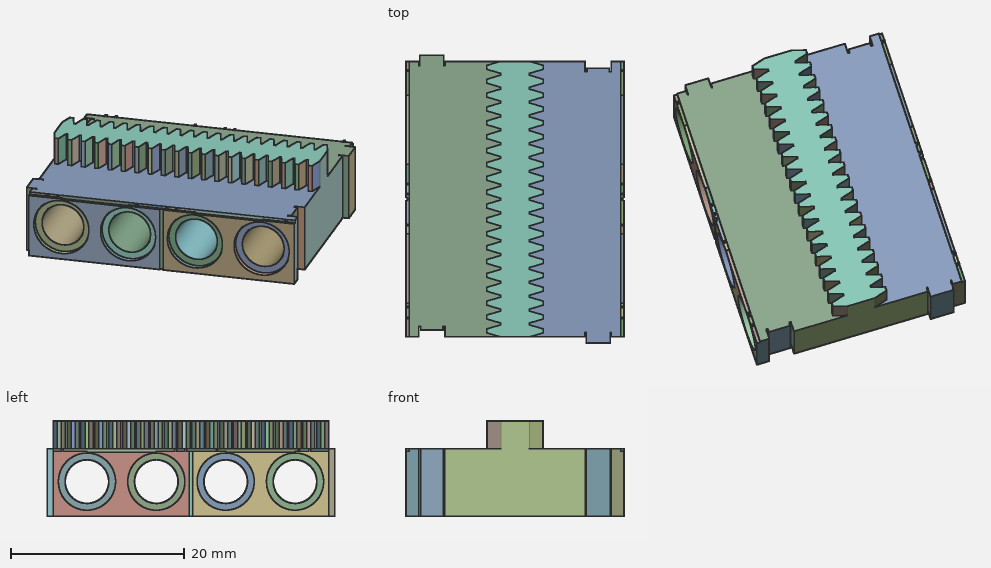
import cadquery as cq
BODY_X = 25.2
BODY_Y = 31.8
BODY_Z = 7.8
HALF_X = BODY_X / 2
HALF_Y = BODY_Y / 2

TOTAL_Z = 11.0
RACK_ROOT_HALF_X = 1.65
TOOTH_HEIGHT = 1.6
TOOTH_PITCH = 1.6
TOOTH_TIP_WIDTH = 0.45
TOOTH_ROOT_GAP = 0.2
TOOTH_COUNT = 20

HOLE_DIAMETER = 5.0
COUNTERBORE_DIAMETER = 6.6
COUNTERBORE_DEPTH = 0.7
HOLE_PITCH = 8.0
HOLE_COUNT = 4
HOLE_Z = 4.0

JOINT_X = 9.6
TAB_WIDTH = 2.8
TAB_PROJECTION = 0.7
RELIEF_WIDTH = 0.1
RELIEF_DEPTH = 0.5
RECESS_WIDTH = 3.0
RECESS_DEPTH = 0.8
TONGUE_WIDTH = 2.6
RECESS_SLIT_DEPTH = 1.2

REBATE_WIDTH = 0.4
REBATE_DEPTH = 0.3
DEEP_REBATE_DEPTH = 0.4
RIB_WIDTH = 0.2
RIB_POSITIONS_Y = (14.85, 1.75, 0.6, -3.0, -12.45, -13.7)
GROOVE_RADIUS = 0.2


def block(x_min, x_max, y_min, y_max, z_min, z_max):
    """Axis-aligned box given by its limits."""
    size = (x_max - x_min, y_max - y_min, z_max - z_min)
    return cq.Workplane("XY").box(*size, centered=False).translate((x_min, y_min, z_min))


def half_turn(shape):
    """Copy of a shape turned 180 degrees about Z."""
    return shape.rotate((0, 0, 0), (0, 0, 1), 180)


def rack():
    """Rack with trapezoidal teeth on both long sides."""
    root_x = RACK_ROOT_HALF_X
    tip_x = root_x + TOOTH_HEIGHT
    root_half = (TOOTH_PITCH - TOOTH_ROOT_GAP) / 2
    tip_half = TOOTH_TIP_WIDTH / 2
    solid = block(-root_x, root_x, -HALF_Y, HALF_Y, 0, TOTAL_Z)
    tooth = (
        cq.Workplane("XY")
        .workplane(offset=BODY_Z)
        .polyline([
            (-root_x, -root_half),
            (-tip_x, -tip_half),
            (-tip_x, tip_half),
            (-root_x, root_half),
            (root_x, root_half),
            (tip_x, tip_half),
            (tip_x, -tip_half),
            (root_x, -root_half),
        ])
        .close()
        .extrude(TOTAL_Z - BODY_Z)
    )
    for index in range(TOOTH_COUNT):
        tooth_y = (index - (TOOTH_COUNT - 1) / 2) * TOOTH_PITCH
        solid = solid.union(tooth.translate((0, tooth_y, 0)))
    return solid


def tab():
    """Tab projecting from the +Y end near the -X side."""
    return block(
        -JOINT_X - TAB_WIDTH / 2,
        -JOINT_X + TAB_WIDTH / 2,
        HALF_Y - RELIEF_DEPTH,
        HALF_Y + TAB_PROJECTION,
        0,
        BODY_Z,
    )


def tab_relief():
    """Pocket that leaves a thin slit on each side of the tab."""
    half_width = TAB_WIDTH / 2 + RELIEF_WIDTH
    return block(-JOINT_X - half_width, -JOINT_X + half_width, HALF_Y - RELIEF_DEPTH, HALF_Y, 0, BODY_Z)


def recess():
    """Recess in the +Y end near the +X side, with a slit beside each edge of its floor."""
    half_width = RECESS_WIDTH / 2
    cavity = block(JOINT_X - half_width, JOINT_X + half_width, HALF_Y - RECESS_SLIT_DEPTH, HALF_Y, 0, BODY_Z)
    tongue = block(
        JOINT_X - TONGUE_WIDTH / 2,
        JOINT_X + TONGUE_WIDTH / 2,
        HALF_Y - RECESS_SLIT_DEPTH,
        HALF_Y - RECESS_DEPTH,
        0,
        BODY_Z,
    )
    return cavity.cut(tongue)


def edge_rebate():
    """Step along the top edge of the +X side, deeper between paired holes and crossed by thin ribs."""
    inner_x = HALF_X - REBATE_WIDTH
    step = block(inner_x, HALF_X, -HALF_Y, HALF_Y, BODY_Z - REBATE_DEPTH, BODY_Z)
    for pair_y in (-HOLE_PITCH, HOLE_PITCH):
        deep_start = pair_y - HOLE_PITCH / 2
        deep_end = pair_y + HOLE_PITCH / 2
        step = step.union(block(inner_x, HALF_X, deep_start, deep_end, BODY_Z - DEEP_REBATE_DEPTH, BODY_Z))
    for rib_y in RIB_POSITIONS_Y:
        rib_start = rib_y - RIB_WIDTH / 2
        rib_end = rib_y + RIB_WIDTH / 2
        step = step.cut(block(inner_x, HALF_X, rib_start, rib_end, BODY_Z - DEEP_REBATE_DEPTH, BODY_Z))
    return step


def side_groove():
    """Vertical half-round groove in the middle of the +X side."""
    return cq.Workplane("XY").center(HALF_X, 0).circle(GROOVE_RADIUS).extrude(BODY_Z)


def cross_hole(hole_y):
    """Hole through the body along X, counterbored on both sides."""
    side = cq.Workplane("YZ").center(hole_y, HOLE_Z)
    bore = side.circle(HOLE_DIAMETER / 2).extrude(HALF_X, both=True)
    counterbore = (
        side.workplane(offset=HALF_X - COUNTERBORE_DEPTH)
        .circle(COUNTERBORE_DIAMETER / 2)
        .extrude(COUNTERBORE_DEPTH)
    )
    return bore.union(counterbore).union(counterbore.mirror("YZ"))


body = block(-HALF_X, HALF_X, -HALF_Y, HALF_Y, 0, BODY_Z)

for end_cutter in (tab_relief(), recess()):
    body = body.cut(end_cutter).cut(half_turn(end_cutter))

for side_cutter in (edge_rebate(), side_groove()):
    body = body.cut(side_cutter).cut(side_cutter.mirror("YZ"))

body = body.union(tab()).union(half_turn(tab())).union(rack())

for hole_index in range(HOLE_COUNT):
    body = body.cut(cross_hole((hole_index - (HOLE_COUNT - 1) / 2) * HOLE_PITCH))

result = body